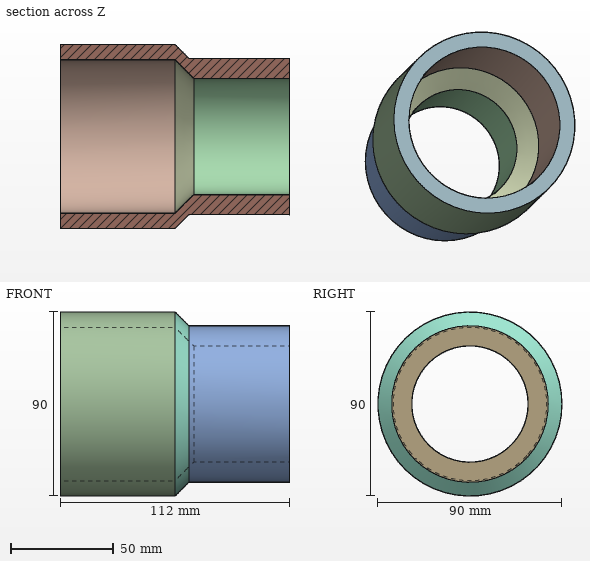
import cadquery as cq

total_length = 112.0

large_outer_diameter = 90.0
small_outer_diameter = 76.5
large_body_length = 56.0

large_socket_diameter = 75.0
through_bore_diameter = 56.7
large_socket_depth = large_body_length


def reducing_solid(large_diameter, small_diameter, cone_start):
    """Solid over the full length: large cylinder, 45 degree cone, small cylinder."""
    large_radius = large_diameter / 2
    small_radius = small_diameter / 2
    cone_end = cone_start + large_radius - small_radius
    half_profile = (
        cq.Workplane("XY")
        .moveTo(0, 0)
        .lineTo(0, large_radius)
        .lineTo(cone_start, large_radius)
        .lineTo(cone_end, small_radius)
        .lineTo(total_length, small_radius)
        .lineTo(total_length, 0)
        .close()
    )
    return half_profile.revolve(360, (0, 0, 0), (1, 0, 0))


body = reducing_solid(large_outer_diameter, small_outer_diameter, large_body_length)
cavity = reducing_solid(large_socket_diameter, through_bore_diameter, large_socket_depth)

result = body.cut(cavity)